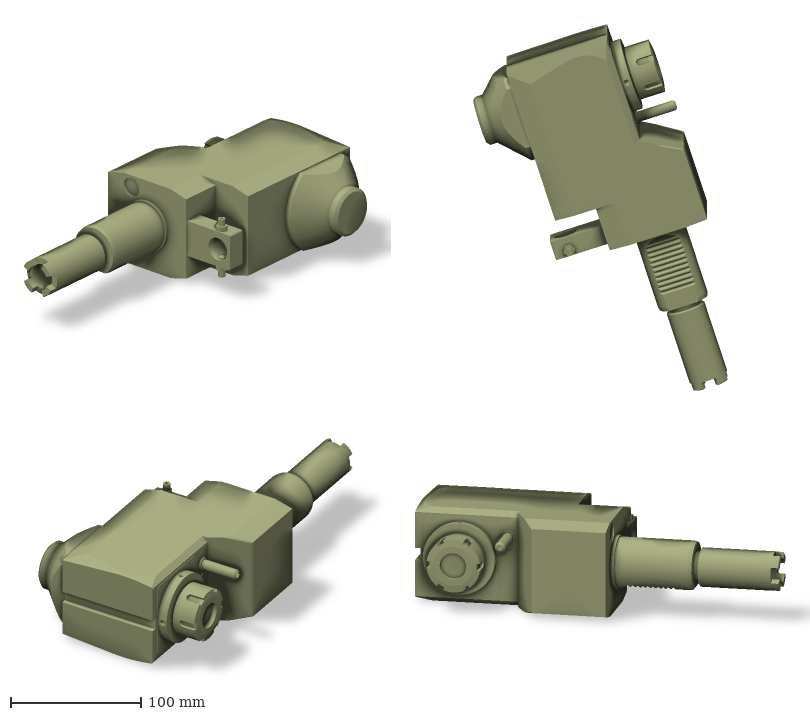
import cadquery as cq
import math


OVERALL_WIDTH = 146.14
OVERALL_LENGTH = 286.25

BODY_HEIGHT = 75.0
HALF_HEIGHT = BODY_HEIGHT / 2
BODY_BACK_Y = 156.0
BASE_HALF_WIDTH = 39.36
HEAD_LEFT_X = -9.2
HEAD_RIGHT_X = 72.0
HEAD_STEP_Y = 35.0
SLOPE_TOP_Y = 75.4
SLOPE_ANGLE = 30.0
SLOPE_CHAMFER = 0.8
BEVEL_ANGLE = 15.0
BEVEL_WIDTH = 15.5
HEAD_BEVEL_WIDTH = 15.0
BEVEL_DROP = HEAD_BEVEL_WIDTH * math.tan(math.radians(BEVEL_ANGLE))
HEAD_LEFT_BEVEL = 4.5
BACK_ARC_RADIUS = 30.0
BACK_ARC_X = 17.5
BACK_CORNER_Y = 143.5
BACK_SLOT_DEPTH = 4.0
BACK_SLOT_WIDTH = 9.5
PLUG_X = -15.8
PLUG_Z = 27.5
PLUG_RADIUS = 7.7
PLUG_RECESS = 2.0

SPINDLE_Y = 120.1
PAD_WIDTH = 58.2
PAD_HEIGHT = 63.0
PAD_CORNER = 5.0
PAD_THICKNESS = 0.3
RING_RADIUS = 28.2
RING_FACE_X = -17.1
RING_HOLE_X = -13.2
RING_HOLE_RADIUS = 2.5
RING_HOLE_COUNT = 4
NECK_RADIUS = 16.2
NUT_RADIUS = 21.1
NUT_BACK_X = -18.3
NUT_SHOULDER_X = -37.6
NUT_FACE_X = -38.5
NUT_FACE_RADIUS = 15.6
NUT_BORE_RADIUS = 10.4
NUT_BORE_DEPTH = 4.0
NUT_SLOT_COUNT = 6
NUT_SLOT_WIDTH = 5.5
NUT_SLOT_FLOOR = 18.5
NUT_SLOT_END_X = -24.4

PIN_Y = 82.8
PIN_Z = 17.7
PIN_RADIUS = 4.0
PIN_CHAMFER = 1.5
PIN_COLLAR_RADIUS = 5.4
PIN_COLLAR_HEIGHT = 1.4
SOCKET_ACROSS = 4.0
SOCKET_DEPTH = 2.0
SCREW_PLUG_Z = 7.8
SCREW_PLUG_RADIUS = 5.4
SCREW_PLUG_RECESS = 0.3

CONE_RADIUS = 40.3
CONE_START_X = 76.1
CONE_END_X = 97.1
CAP_RADIUS = 19.4
CAP_END_X = 105.0
CAP_CHAMFER = 2.2
CONE_FLAT_Z = 32.3
CONE_FLAT_Y = 31.2

PIN_TIP_X = CAP_END_X - OVERALL_WIDTH

FLANGE_RADIUS = 21.2
FLANGE_END_Y = -2.5
SHANK_RADIUS = 20.0
SHANK_GROOVE_RADIUS = 19.5
SHANK_START_Y = -3.8
SHANK_END_Y = -63.0
SHANK_CHAMFER_LENGTH = 3.0
SHANK_CHAMFER_DEPTH = 0.7
SHAFT_NECK_RADIUS = 12.0
SHAFT_RADIUS = 15.2
SHAFT_START_Y = -66.8
SHAFT_CHAMFER = 0.8
TIP_CHAMFER = 0.5
TIP_BORE_RADIUS = 10.0
TIP_BORE_DEPTH = 15.0
TIP_Y = BODY_BACK_Y - OVERALL_LENGTH
TIP_SLOT_DEPTH = 5.9
TIP_SLOT_HALF_ANGLE = 24.0
TIP_SLOT_COUNT = 4

RACK_FLAT_Z = -15.5
RACK_ROOT_Z = -13.7
RACK_RAMP_Y = -4.2
RACK_PITCH = 4.0
RACK_FIRST_Y = -11.8
RACK_GROOVE_COUNT = 10
RACK_GROOVE_HALF_WIDTH = 1.6

BRACKET_END_X = 82.2
BRACKET_FRONT_Y = 1.5
BRACKET_BACK_Y = 16.2
BRACKET_HEIGHT = 29.5
BRACKET_CHAMFER = 0.9
BRACKET_HOLE_X = 70.0
BRACKET_HOLE_RADIUS = 9.3
CLAMP_Y = 6.2
CLAMP_NUT_ACROSS = 8.0
CLAMP_NUT_HEIGHT = 3.8
CLAMP_SCREW_RADIUS = 2.8
CLAMP_SCREW_TOP_Z = 24.4
CLAMP_SCREW_TIP_Z = 8.0
CLAMP_SOCKET_ACROSS = 2.5

OVERLAP = 1.0
HEX_CORNER_RATIO = 2 / math.sqrt(3)


def cylinder_x(radius, x_start, x_end, y, z):
    """Cylinder along X between two X positions."""
    plane = cq.Plane(origin=(x_start, y, z), xDir=(0, 1, 0), normal=(1, 0, 0))
    return cq.Workplane(plane).circle(radius).extrude(x_end - x_start)


def hexagon_x(across_flats, x_start, x_end, y, z):
    """Hexagonal prism along X between two X positions."""
    plane = cq.Plane(origin=(x_start, y, z), xDir=(0, 1, 0), normal=(1, 0, 0))
    return cq.Workplane(plane).polygon(6, across_flats * HEX_CORNER_RATIO).extrude(x_end - x_start)


def revolve_spindle(outline):
    """Revolve (x, radius) points about the spindle axis."""
    points = [(x, SPINDLE_Y + radius) for x, radius in outline]
    profile = cq.Workplane("XY").polyline(points).close()
    return profile.revolve(360, (0, SPINDLE_Y, 0), (1, SPINDLE_Y, 0))


def cut_both_sides(body, cutter):
    """Cut the given top cutter and its mirror image in the plane Z = 0."""
    return body.cut(cutter).cut(cutter.mirror("XY"))


def edge_bevel(edge_x, width, y_start, y_end):
    """Wedge removing the top edge at edge_x; a positive width goes towards +X."""
    outline = [
        (edge_x, HALF_HEIGHT - BEVEL_DROP),
        (edge_x, HALF_HEIGHT),
        (edge_x + width, HALF_HEIGHT),
    ]
    wedge = cq.Workplane("XZ", origin=(0, y_start, 0)).polyline(outline).close()
    return wedge.extrude(y_start - y_end)


def back_bevel():
    """Material removed above the back bevel: a cone that runs into an inclined plane."""
    angle = math.radians(BEVEL_ANGLE)
    corner_x = HEAD_RIGHT_X - HEAD_BEVEL_WIDTH
    far_x = HEAD_RIGHT_X + BODY_HEIGHT
    far_y = BACK_CORNER_Y - (far_x - corner_x) * math.tan(angle)
    line_y = BACK_CORNER_Y + (corner_x - BACK_ARC_X) * math.tan(angle)
    arc_y = line_y - BACK_ARC_RADIUS / math.cos(angle)

    def arc_point(direction):
        return (
            BACK_ARC_X + BACK_ARC_RADIUS * math.cos(direction),
            arc_y + BACK_ARC_RADIUS * math.sin(direction),
        )

    kept = (
        cq.Workplane("XY", origin=(0, 0, -HALF_HEIGHT))
        .moveTo(BACK_ARC_X - BACK_ARC_RADIUS, 0)
        .lineTo(*arc_point(math.pi))
        .threePointArc(arc_point(3 * math.pi / 4), arc_point(math.pi / 2 - angle))
        .lineTo(far_x, far_y)
        .lineTo(far_x, 0)
        .close()
        .extrude(2 * BEVEL_DROP, taper=BEVEL_ANGLE - 90)
        .mirror("XY")
    )
    zone_base_z = HALF_HEIGHT - 2 * BEVEL_DROP
    zone = cq.Workplane("XY", origin=(HEAD_LEFT_X, arc_y, zone_base_z)).box(
        HEAD_RIGHT_X - HEAD_LEFT_X, BODY_BACK_Y - arc_y, 2 * BEVEL_DROP, centered=False
    )
    return zone.cut(kept)


def housing():
    slope_rise = (HEAD_LEFT_X + BASE_HALF_WIDTH) * math.tan(math.radians(SLOPE_ANGLE))
    outline = [
        (-BASE_HALF_WIDTH, 0),
        (BASE_HALF_WIDTH, 0),
        (BASE_HALF_WIDTH, HEAD_STEP_Y),
        (HEAD_RIGHT_X, HEAD_STEP_Y),
        (HEAD_RIGHT_X, BODY_BACK_Y),
        (HEAD_LEFT_X, BODY_BACK_Y),
        (HEAD_LEFT_X, SLOPE_TOP_Y),
        (-BASE_HALF_WIDTH, SLOPE_TOP_Y - slope_rise),
    ]
    body = cq.Workplane("XY").polyline(outline).close().extrude(HALF_HEIGHT, both=True)
    base_bevels = [
        edge_bevel(-BASE_HALF_WIDTH, BEVEL_WIDTH, 0, SLOPE_TOP_Y),
        edge_bevel(BASE_HALF_WIDTH, -BEVEL_WIDTH, 0, HEAD_STEP_Y),
    ]
    for bevel in base_bevels:
        body = cut_both_sides(body, bevel)

    slope = math.radians(SLOPE_ANGLE)
    slope_normal = cq.Vector(-math.sin(slope), math.cos(slope), 0)
    slope_face = body.faces(cq.selectors.ParallelDirSelector(slope_normal))
    body = slope_face.edges("<X or (not (|Z or #Z))").chamfer(SLOPE_CHAMFER)

    head_bevels = [
        edge_bevel(HEAD_RIGHT_X, -HEAD_BEVEL_WIDTH, HEAD_STEP_Y, BODY_BACK_Y),
        edge_bevel(HEAD_LEFT_X, HEAD_LEFT_BEVEL, SLOPE_TOP_Y, BODY_BACK_Y),
        back_bevel(),
    ]
    for bevel in head_bevels:
        body = cut_both_sides(body, bevel)

    back_slot = cq.Workplane("XY", origin=((HEAD_LEFT_X + HEAD_RIGHT_X) / 2, BODY_BACK_Y, 0)).box(
        HEAD_RIGHT_X - HEAD_LEFT_X, 2 * BACK_SLOT_DEPTH, BACK_SLOT_WIDTH
    )
    plug_recess = (
        cq.Workplane("XZ", origin=(PLUG_X, 0, PLUG_Z)).circle(PLUG_RADIUS).extrude(-PLUG_RECESS)
    )
    return body.cut(back_slot).cut(plug_recess)


def spindle_nose():
    pad = (
        cq.Workplane("YZ", origin=(HEAD_LEFT_X - PAD_THICKNESS, SPINDLE_Y, 0))
        .rect(PAD_WIDTH, PAD_HEIGHT)
        .extrude(PAD_THICKNESS + OVERLAP)
        .edges("|X")
        .fillet(PAD_CORNER)
    )
    bore_floor_x = NUT_FACE_X + NUT_BORE_DEPTH
    nose = revolve_spindle([
        (HEAD_LEFT_X + OVERLAP, 0),
        (HEAD_LEFT_X + OVERLAP, RING_RADIUS),
        (RING_FACE_X, RING_RADIUS),
        (RING_FACE_X, NECK_RADIUS),
        (NUT_BACK_X, NECK_RADIUS),
        (NUT_BACK_X, NUT_RADIUS),
        (NUT_SHOULDER_X, NUT_RADIUS),
        (NUT_FACE_X, NUT_FACE_RADIUS),
        (NUT_FACE_X, NUT_BORE_RADIUS),
        (bore_floor_x, NUT_BORE_RADIUS),
        (bore_floor_x, 0),
    ])
    axis_start = (0, SPINDLE_Y, 0)
    axis_end = (1, SPINDLE_Y, 0)

    slot_round_x = NUT_SLOT_END_X - NUT_SLOT_WIDTH / 2
    slot = (
        cq.Workplane("XZ", origin=(0, SPINDLE_Y + NUT_SLOT_FLOOR, 0))
        .moveTo(NUT_FACE_X, -NUT_SLOT_WIDTH / 2)
        .lineTo(slot_round_x, -NUT_SLOT_WIDTH / 2)
        .threePointArc((NUT_SLOT_END_X, 0), (slot_round_x, NUT_SLOT_WIDTH / 2))
        .lineTo(NUT_FACE_X, NUT_SLOT_WIDTH / 2)
        .close()
        .extrude(-NUT_RADIUS)
    )
    for index in range(NUT_SLOT_COUNT):
        nose = nose.cut(slot.rotate(axis_start, axis_end, index * 360 / NUT_SLOT_COUNT))

    dimple = cq.Workplane(
        cq.Solid.makeCone(
            0,
            RING_HOLE_RADIUS,
            RING_HOLE_RADIUS,
            cq.Vector(RING_HOLE_X, SPINDLE_Y, RING_RADIUS - RING_HOLE_RADIUS),
            cq.Vector(0, 0, 1),
        )
    )
    for index in range(RING_HOLE_COUNT):
        nose = nose.cut(dimple.rotate(axis_start, axis_end, index * 360 / RING_HOLE_COUNT))
    return pad.union(nose)


def coolant_pin():
    pin = cylinder_x(PIN_RADIUS, PIN_TIP_X, HEAD_LEFT_X + OVERLAP, PIN_Y, PIN_Z)
    pin = pin.faces("<X").chamfer(PIN_CHAMFER)
    collar_x = HEAD_LEFT_X - PIN_COLLAR_HEIGHT
    collar = cylinder_x(PIN_COLLAR_RADIUS, collar_x, HEAD_LEFT_X + OVERLAP, PIN_Y, PIN_Z)
    socket = hexagon_x(SOCKET_ACROSS, PIN_TIP_X, PIN_TIP_X + SOCKET_DEPTH, PIN_Y, PIN_Z)
    return pin.union(collar).cut(socket)


def screw_plug_recess():
    """Shallow seat of the screw plug with its hexagon socket."""
    floor_x = HEAD_LEFT_X + SCREW_PLUG_RECESS
    seat = cylinder_x(SCREW_PLUG_RADIUS, HEAD_LEFT_X, floor_x, PIN_Y, SCREW_PLUG_Z)
    socket = hexagon_x(SOCKET_ACROSS, HEAD_LEFT_X, floor_x + SOCKET_DEPTH, PIN_Y, SCREW_PLUG_Z)
    return seat.union(socket)


def rear_cone():
    cone = revolve_spindle([
        (HEAD_RIGHT_X - OVERLAP, 0),
        (HEAD_RIGHT_X - OVERLAP, CONE_RADIUS),
        (CONE_START_X, CONE_RADIUS),
        (CONE_END_X, CAP_RADIUS),
        (CAP_END_X - CAP_CHAMFER, CAP_RADIUS),
        (CAP_END_X, CAP_RADIUS - CAP_CHAMFER),
        (CAP_END_X, 0),
    ])
    end_z = CONE_FLAT_Z - (CAP_END_X - CONE_START_X) * math.tan(math.radians(BEVEL_ANGLE))
    start_x = HEAD_RIGHT_X - OVERLAP
    side_outline = [
        (start_x, -CONE_FLAT_Z),
        (CONE_START_X, -CONE_FLAT_Z),
        (CAP_END_X, -end_z),
        (CAP_END_X, end_z),
        (CONE_START_X, CONE_FLAT_Z),
        (start_x, CONE_FLAT_Z),
    ]
    envelope = (
        cq.Workplane("XZ", origin=(0, SPINDLE_Y + CONE_FLAT_Y, 0))
        .polyline(side_outline)
        .close()
        .extrude(CONE_FLAT_Y + CONE_RADIUS)
    )
    return cone.intersect(envelope)


def rack_cutter():
    """Flat with an entry ramp and V grooves, cut from below along the shank."""
    ramp_end_y = RACK_RAMP_Y - (RACK_FLAT_Z + SHANK_RADIUS)
    below_z = -2 * SHANK_RADIUS
    outline = [
        (RACK_RAMP_Y, -SHANK_RADIUS),
        (ramp_end_y, RACK_FLAT_Z),
        (SHANK_END_Y, RACK_FLAT_Z),
        (SHANK_END_Y, below_z),
        (RACK_RAMP_Y, below_z),
    ]
    cutter = cq.Workplane("YZ").polyline(outline).close().extrude(SHANK_RADIUS, both=True)
    for index in range(RACK_GROOVE_COUNT):
        groove_y = RACK_FIRST_Y - index * RACK_PITCH
        groove = [
            (groove_y - RACK_GROOVE_HALF_WIDTH, RACK_FLAT_Z),
            (groove_y, RACK_ROOT_Z),
            (groove_y + RACK_GROOVE_HALF_WIDTH, RACK_FLAT_Z),
        ]
        tooth_gap = cq.Workplane("YZ").polyline(groove).close().extrude(SHANK_RADIUS, both=True)
        cutter = cutter.union(tooth_gap)
    return cutter


def shank():
    outline = [
        (0, OVERLAP),
        (FLANGE_RADIUS, OVERLAP),
        (FLANGE_RADIUS, FLANGE_END_Y),
        (SHANK_GROOVE_RADIUS, FLANGE_END_Y),
        (SHANK_GROOVE_RADIUS, SHANK_START_Y),
        (SHANK_RADIUS, SHANK_START_Y),
        (SHANK_RADIUS, SHANK_END_Y + SHANK_CHAMFER_LENGTH),
        (SHANK_RADIUS - SHANK_CHAMFER_DEPTH, SHANK_END_Y),
        (0, SHANK_END_Y),
    ]
    body = cq.Workplane("XY").polyline(outline).close().revolve(360, (0, 0, 0), (0, 1, 0))
    return body.cut(rack_cutter())


def drive_shaft():
    bore_floor_y = TIP_Y + TIP_BORE_DEPTH
    outline = [
        (0, SHANK_END_Y + OVERLAP),
        (SHAFT_NECK_RADIUS, SHANK_END_Y + OVERLAP),
        (SHAFT_NECK_RADIUS, SHAFT_START_Y),
        (SHAFT_RADIUS - SHAFT_CHAMFER, SHAFT_START_Y),
        (SHAFT_RADIUS, SHAFT_START_Y - SHAFT_CHAMFER),
        (SHAFT_RADIUS, TIP_Y + TIP_CHAMFER),
        (SHAFT_RADIUS - TIP_CHAMFER, TIP_Y),
        (TIP_BORE_RADIUS, TIP_Y),
        (TIP_BORE_RADIUS, bore_floor_y),
        (0, bore_floor_y),
    ]
    shaft = cq.Workplane("XY").polyline(outline).close().revolve(360, (0, 0, 0), (0, 1, 0))

    slot_reach = 2 * SHAFT_RADIUS
    slot_spread = slot_reach * math.tan(math.radians(TIP_SLOT_HALF_ANGLE))
    slot = (
        cq.Workplane("XZ", origin=(0, TIP_Y, 0))
        .polyline([(0, 0), (slot_reach, -slot_spread), (slot_reach, slot_spread)])
        .close()
        .extrude(-TIP_SLOT_DEPTH)
    )
    for index in range(TIP_SLOT_COUNT):
        shaft = shaft.cut(slot.rotate((0, 0, 0), (0, 1, 0), index * 360 / TIP_SLOT_COUNT))
    return shaft


def clamp_screw():
    """Set screw through the bracket's top wall, its tip reaching the hole, with its lock nut."""
    base_z = BRACKET_HEIGHT / 2
    seat = cq.Workplane("XY", origin=(BRACKET_HOLE_X, CLAMP_Y, base_z - OVERLAP))
    nut = seat.polygon(6, CLAMP_NUT_ACROSS * HEX_CORNER_RATIO).extrude(CLAMP_NUT_HEIGHT + OVERLAP)
    screw = (
        cq.Workplane("XY", origin=(BRACKET_HOLE_X, CLAMP_Y, CLAMP_SCREW_TIP_Z))
        .circle(CLAMP_SCREW_RADIUS)
        .extrude(CLAMP_SCREW_TOP_Z - CLAMP_SCREW_TIP_Z)
    )
    socket = (
        cq.Workplane("XY", origin=(BRACKET_HOLE_X, CLAMP_Y, CLAMP_SCREW_TOP_Z - SOCKET_DEPTH))
        .polygon(6, CLAMP_SOCKET_ACROSS * HEX_CORNER_RATIO)
        .extrude(SOCKET_DEPTH)
    )
    return nut.union(screw).cut(socket)


def bracket():
    start_x = BASE_HALF_WIDTH - OVERLAP
    depth = BRACKET_BACK_Y - BRACKET_FRONT_Y
    bar = cq.Workplane("XY", origin=(start_x, BRACKET_FRONT_Y, -BRACKET_HEIGHT / 2)).box(
        BRACKET_END_X - start_x, depth, BRACKET_HEIGHT, centered=False
    )
    bar = bar.faces(">X").edges("|Y").chamfer(BRACKET_CHAMFER)
    hole = (
        cq.Workplane("XZ", origin=(BRACKET_HOLE_X, BRACKET_FRONT_Y, 0))
        .circle(BRACKET_HOLE_RADIUS)
        .extrude(-depth)
    )
    screw = clamp_screw()
    return bar.cut(hole).union(screw).union(screw.mirror("XY"))


result = (
    housing()
    .union(rear_cone())
    .union(spindle_nose())
    .cut(screw_plug_recess())
    .union(coolant_pin())
    .union(shank())
    .union(drive_shaft())
    .union(bracket())
)